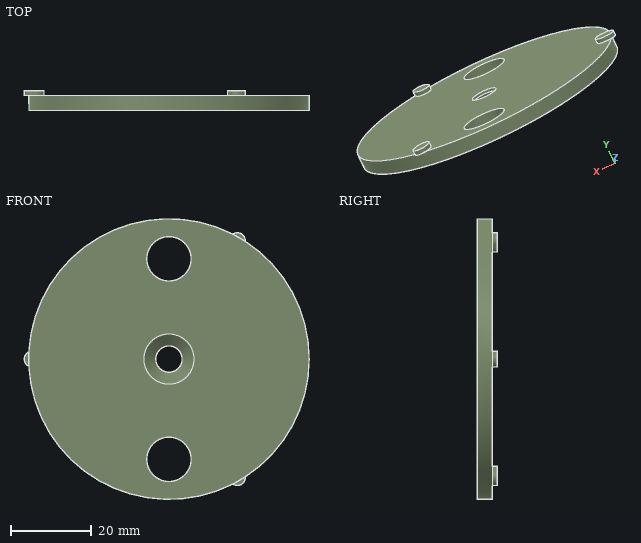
import cadquery as cq

PLATE_DIAMETER = 70.0
PLATE_THICKNESS = 3.8

SIDE_HOLE_DIAMETER = 11.0
SIDE_HOLE_OFFSET = 25.0

SCREW_HOLE_DIAMETER = 6.5
COUNTERSINK_DIAMETER = 12.5
COUNTERSINK_ANGLE = 90.0

LUG_COUNT = 3
LUG_PITCH_ANGLE = 360.0 / LUG_COUNT
LUG_LENGTH = 5.0
LUG_WIDTH = 4.0
LUG_OVERHANG = 1.1
LUG_SEAT_DEPTH = 0.05
LUG_BACK = 5.0
FIRST_LUG_ANGLE = 180.0


def make_plate():
    """Disc with its two side holes and the countersunk centre hole."""
    disc = cq.Workplane("XZ").circle(PLATE_DIAMETER / 2).extrude(-PLATE_THICKNESS)
    front = disc.faces("<Y").workplane(origin=(0, 0, 0))
    drilled = front.pushPoints([(0, SIDE_HOLE_OFFSET), (0, -SIDE_HOLE_OFFSET)]).hole(SIDE_HOLE_DIAMETER)
    front = drilled.faces("<Y").workplane(origin=(0, 0, 0))
    return front.cskHole(SCREW_HOLE_DIAMETER, COUNTERSINK_DIAMETER, COUNTERSINK_ANGLE)


def make_lug(angle):
    """Obround lug at the given angle around the plate axis."""
    lug_start = PLATE_THICKNESS - LUG_SEAT_DEPTH
    lug_center = PLATE_DIAMETER / 2 + LUG_OVERHANG - LUG_LENGTH / 2
    lug = (
        cq.Workplane("XZ", origin=(0, lug_start, 0))
        .center(lug_center, 0)
        .slot2D(LUG_LENGTH, LUG_WIDTH)
        .extrude(lug_start - LUG_BACK)
    )
    return lug.rotate((0, 0, 0), (0, 1, 0), angle)


result = make_plate()
for index in range(LUG_COUNT):
    result = result.union(make_lug(FIRST_LUG_ANGLE + index * LUG_PITCH_ANGLE))